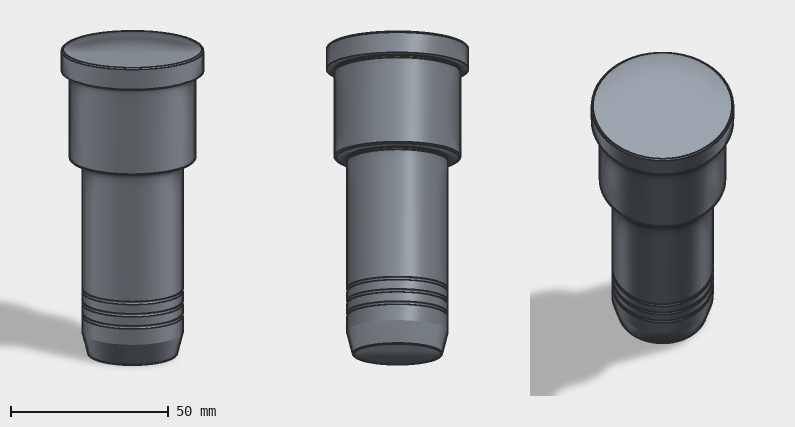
import cadquery as cq
import math

total_length = 100.0
head_radius = 22.5
head_height = 7.0
body_radius = 20.0
body_bottom = 64.0
shank_radius = 16.0
edge_chamfer = 0.5

relief_width = 1.0
relief_depth = 0.5
relief_corner_height = 0.3

nose_height = 7.3
nose_tip_radius = 14.2
tip_chamfer = 0.3

ring_groove_radius = 0.5
ring_groove_count = 3
ring_groove_pitch = 4.0
lowest_ring_groove_z = 13.0

head_bottom = total_length - head_height


def make_stepped_pin():
    """Revolve the plain head, body, shank and nose profile about Z."""
    profile = (
        cq.Workplane("XZ")
        .lineTo(nose_tip_radius - tip_chamfer, 0)
        .lineTo(nose_tip_radius, tip_chamfer)
        .lineTo(shank_radius, nose_height)
        .lineTo(shank_radius, body_bottom)
        .lineTo(body_radius - edge_chamfer, body_bottom)
        .lineTo(body_radius, body_bottom + edge_chamfer)
        .lineTo(body_radius, head_bottom)
        .lineTo(head_radius, head_bottom)
        .lineTo(head_radius, total_length - edge_chamfer)
        .lineTo(head_radius - edge_chamfer, total_length)
        .lineTo(0, total_length)
        .close()
    )
    return profile.revolve(360, (0, 0), (0, 1))


def make_relief(outer_radius, top):
    """Ring to remove below a shoulder, with a bevelled corner against the shoulder."""
    floor_radius = outer_radius - relief_depth
    bottom = top - relief_width
    outline = [
        (outer_radius, bottom),
        (floor_radius, bottom),
        (floor_radius, top - relief_corner_height),
        (floor_radius + relief_corner_height, top),
        (outer_radius, top),
    ]
    return cq.Workplane("XZ").polyline(outline).close().revolve(360, (0, 0), (0, 1))


def make_ring_groove(middle):
    """Ring to remove for one groove: two quarter arcs meeting at its deepest point."""
    floor_radius = shank_radius - ring_groove_radius
    arc_offset = ring_groove_radius * math.sqrt(0.5)
    arc_mid_radius = shank_radius - arc_offset
    return (
        cq.Workplane("XZ", origin=(0, 0, middle))
        .moveTo(shank_radius, -ring_groove_radius)
        .threePointArc((arc_mid_radius, -arc_offset), (floor_radius, 0))
        .threePointArc((arc_mid_radius, arc_offset), (shank_radius, ring_groove_radius))
        .close()
        .revolve(360, (0, 0), (0, 1))
    )


result = make_stepped_pin()
result = result.cut(make_relief(body_radius, head_bottom))
result = result.cut(make_relief(shank_radius, body_bottom))
for index in range(ring_groove_count):
    result = result.cut(make_ring_groove(lowest_ring_groove_z + index * ring_groove_pitch))